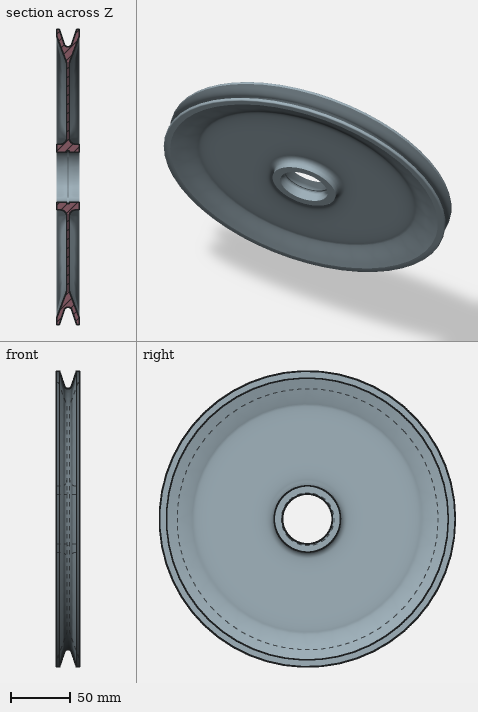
import cadquery as cq
import math

outer_radius = 125.0
rim_half_width = 9.8
rim_edge_round = 1.0

groove_half_opening = 7.2
groove_bottom_radius = 110.2
groove_root_half_width = 2.8
groove_root_depth = 1.5

rim_face_inner_radius = 119.0
cone_inner_radius = 97.0
web_flat_radius = 95.5
web_half_thickness = 1.2
cone_end_rise = 0.2

hub_radius = 28.0
hub_fillet = 5.0
bore_radius = 21.0

ring_groove_radius = 22.2
ring_groove_width = 2.0


def ring(inner_radius, outside_radius, half_width):
    """Plain ring, centred on the origin, about the X axis."""
    return (
        cq.Workplane("YZ", origin=(-half_width, 0, 0))
        .circle(outside_radius)
        .circle(inner_radius)
        .extrude(2 * half_width)
    )


def revolve_about_x(profile):
    """Turn a profile drawn as (x, radius) about the X axis."""
    return profile.close().revolve(360, (0, 0, 0), (1, 0, 0))


def make_blank():
    """Bored disc with its two outer edges rounded."""
    outer_edges = cq.selectors.RadiusNthSelector(-1)
    return ring(bore_radius, outer_radius, rim_half_width).edges(outer_edges).fillet(rim_edge_round)


def make_face_recess():
    """Ring-shaped space between hub and rim on the +X side."""
    fillet_end = web_half_thickness + hub_fillet
    fillet_middle = hub_fillet * (1 - math.sqrt(0.5))
    profile = (
        cq.Workplane("XY")
        .moveTo(rim_half_width, hub_radius)
        .lineTo(fillet_end, hub_radius)
        .threePointArc(
            (web_half_thickness + fillet_middle, hub_radius + fillet_middle),
            (web_half_thickness, hub_radius + hub_fillet),
        )
        .lineTo(web_half_thickness, web_flat_radius)
        .tangentArcPoint((web_half_thickness + cone_end_rise, cone_inner_radius), relative=False)
        .lineTo(rim_half_width, rim_face_inner_radius)
    )
    return revolve_about_x(profile)


def make_belt_groove():
    """V groove with straight flanks and a round root."""
    flank_bottom_radius = groove_bottom_radius + groove_root_depth
    profile = (
        cq.Workplane("XY")
        .moveTo(-groove_half_opening, outer_radius)
        .lineTo(-groove_root_half_width, flank_bottom_radius)
        .threePointArc((0, groove_bottom_radius), (groove_root_half_width, flank_bottom_radius))
        .lineTo(groove_half_opening, outer_radius)
    )
    return revolve_about_x(profile)


recess = make_face_recess()
ring_groove = ring(bore_radius, ring_groove_radius, ring_groove_width / 2)

result = (
    make_blank()
    .cut(make_belt_groove())
    .cut(recess)
    .cut(recess.mirror("YZ"))
    .cut(ring_groove)
)